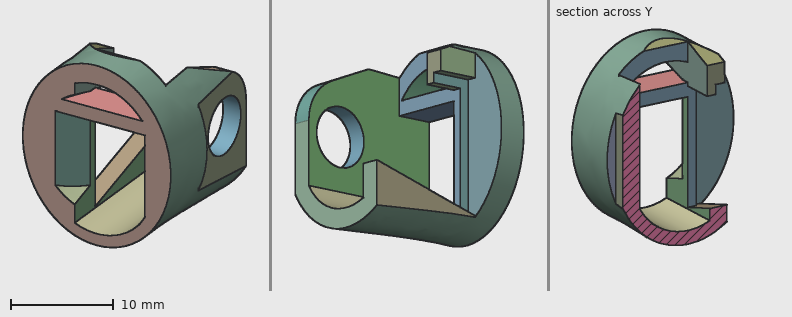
import math

import cadquery as cq

length = 15.6

half_width = 8.44
half_height = 9.78
flare = [(0, 1.0), (2.9, 0.999), (9.25, 1.029), (length, 1.0725)]

roof_angle = math.radians(22.5)
roof_height_at_mouth = 10.93
back_round_radius = 4.7
reach = 3 * half_height

channel_left = -2.51
channel_right = 5.5
channel_floor_radius = 6.29
channel_floor_center_z = -2.21
collar_depth = 3.88

crossbar_bottom = 3.62
crossbar_top = 5.1
arch_radius = 6.43
arch_center_z = 1.28

relief_radius = 6.48
relief_taper = math.radians(15)
relief_left = -4.71
relief_depth = 2.9

left_flat = -4.54
left_flat_start = 2.9
block_end = 7.34
block_bottom = 5.74
rib_left = -3.5
rib_notch_top = 4.72
ramp_start_z = -8.08
ramp_end_z = -4.55

right_flat = 7.53
right_flat_start = 6.6
cross_hole_diameter = 6.1
cross_hole_y = 11.53
cross_hole_z = 0.25


def box(x_range, y_range, z_range):
    """Box spanning the given (low, high) ranges."""
    sizes = [high - low for low, high in (x_range, y_range, z_range)]
    corner = (x_range[0], y_range[0], z_range[0])
    return cq.Workplane("XY").box(*sizes, centered=False).translate(corner)


def rod(radius, center_z, y_end):
    """Round rod along Y from the mouth to y_end, centred on X = 0."""
    return cq.Workplane("XZ").center(0, center_z).circle(radius).extrude(-y_end)


def outer_shell():
    along_y = cq.Vector(0, 1, 0)
    upright = cq.Vector(0, 0, 1)
    sections = []
    for y, scale in flare:
        center = cq.Vector(0, y, 0)
        ring = cq.Wire.makeEllipse(scale * half_height, scale * half_width, center, along_y, upright)
        sections.append(ring)
    return cq.Workplane(cq.Solid.makeLoft(sections))


def side_profile():
    back_height = roof_height_at_mouth - length * math.tan(roof_angle)
    profile = (
        cq.Workplane("YZ", origin=(-reach / 2, 0, 0))
        .polyline([(0, -reach), (length, -reach), (length, back_height), (0, roof_height_at_mouth)])
        .close()
        .extrude(reach)
    )
    back_corner = cq.selectors.NearestToPointSelector((0, length, back_height))
    return profile.edges(back_corner).fillet(back_round_radius)


def main_channel():
    channel_x = (channel_left, channel_right)
    floor = rod(channel_floor_radius, channel_floor_center_z, length)
    floor = floor.intersect(box(channel_x, (0, length), (-reach, channel_floor_center_z)))
    lower = box(channel_x, (0, length), (channel_floor_center_z, crossbar_bottom))
    open_top = box(channel_x, (collar_depth, length), (channel_floor_center_z, reach))
    return floor.union(lower).union(open_top)


def arched_window():
    window = box((channel_left, channel_right), (0, collar_depth), (crossbar_top, reach))
    return rod(arch_radius, arch_center_z, collar_depth).intersect(window)


def mouth_relief():
    back_radius = relief_radius - relief_depth * math.tan(relief_taper)
    mouth_center = cq.Vector(0, 0, 0)
    along_y = cq.Vector(0, 1, 0)
    cone = cq.Workplane(cq.Solid.makeCone(relief_radius, back_radius, relief_depth, mouth_center, along_y))
    wedge = (
        cq.Workplane("XY", origin=(0, 0, -reach / 2))
        .polyline([(relief_left, 0), (channel_left, 0), (channel_left, relief_depth)])
        .close()
        .extrude(reach)
    )
    crossbar = box((-reach, reach), (0, length), (crossbar_bottom, crossbar_top))
    return cone.intersect(wedge).cut(crossbar)


def above_ramp():
    """Space above the ramp of the left web, from the left flat's start to the back face."""
    ramp_start = (left_flat_start, ramp_start_z)
    ramp_end = (length, ramp_end_z)
    return (
        cq.Workplane("YZ", origin=(-reach, 0, 0))
        .polyline([ramp_start, ramp_end, (length, reach), (left_flat_start, reach)])
        .close()
        .extrude(reach + channel_left)
    )


def left_side_cuts():
    """The outer flat, and the space around the rib, the block and the ramp."""
    behind = (left_flat_start, length)
    flat = box((-reach, left_flat), behind, (-reach, reach))
    beside_rib = box((-reach, rib_left), behind, (-reach, block_bottom))
    behind_rib = box((-reach, channel_left), (collar_depth, length), (-reach, rib_notch_top))
    behind_block = box((-reach, channel_left), (block_end, length), (-reach, reach))
    open_space = beside_rib.union(behind_rib).union(behind_block).intersect(above_ramp())
    return flat, open_space


def right_flat_cut():
    return box((right_flat, reach), (right_flat_start, length), (-reach, reach))


def cross_hole():
    return (
        cq.Workplane("YZ", origin=(channel_right, 0, 0))
        .center(cross_hole_y, cross_hole_z)
        .circle(cross_hole_diameter / 2)
        .extrude(reach)
    )


result = outer_shell().intersect(side_profile())
cuts = [main_channel(), arched_window(), mouth_relief(), *left_side_cuts(), right_flat_cut(), cross_hole()]
for cut in cuts:
    result = result.cut(cut)